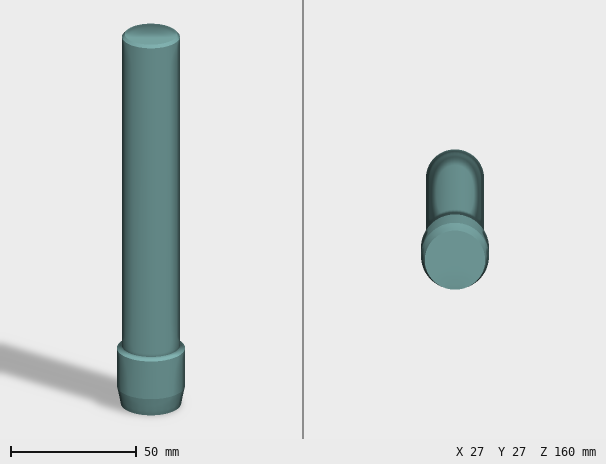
import cadquery as cq

total_height = 160.0

rod_radius = 11.5
rod_chamfer = 1.1

base_diameter = 27.0
base_radius = base_diameter / 2
base_height = 25.1
shoulder_height = 1.1
lead_in_height = 7.7
lead_in_bottom_radius = 12.0


def make_rod():
    """Plain round rod standing on the base, chamfered at its top end."""
    return (
        cq.Workplane("XY")
        .workplane(offset=base_height)
        .circle(rod_radius)
        .extrude(total_height - base_height)
        .faces(">Z")
        .chamfer(rod_chamfer)
    )


def make_base():
    """Turned base with a conical shoulder above and a tapered lead-in below."""
    return (
        cq.Workplane("XZ")
        .lineTo(lead_in_bottom_radius, 0)
        .lineTo(base_radius, lead_in_height)
        .lineTo(base_radius, base_height - shoulder_height)
        .lineTo(rod_radius, base_height)
        .lineTo(0, base_height)
        .close()
        .revolve(360, (0, 0), (0, 1))
    )


rod = make_rod()
base = make_base()

result = cq.Compound.makeCompound([rod.val(), base.val()])